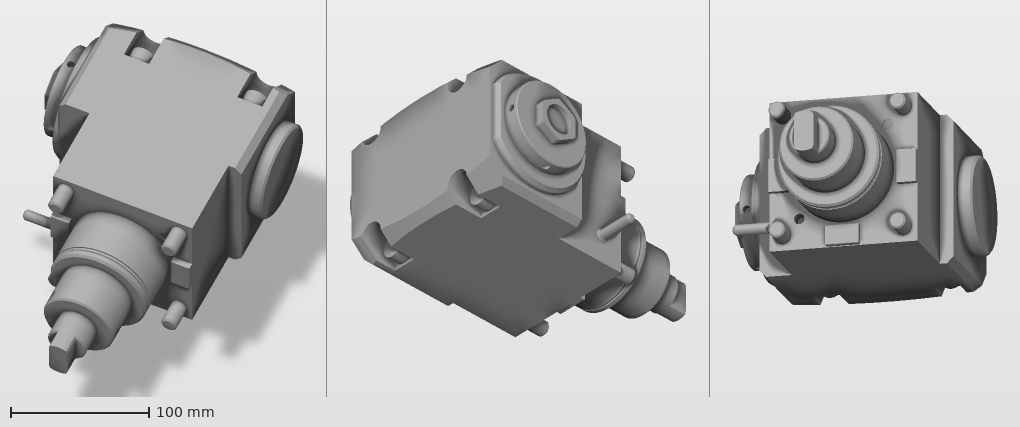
import cadquery as cq
import math


height = 112.0
half_height = height / 2
back_y = 153.6
neck_half_width = 55.5
wide_front_y = 62.0
wide_left_x = -79.5
wide_right_x = 65.7
side_chamfer = 5.0

swing_x = (wide_left_x + wide_right_x) / 2
swing_radius = 246.0
swing_back_y = 146.8
swing_y = swing_back_y - swing_radius

bolt_offset = 45.1
bolt_radius = 6.0
bolt_length = 19.0
bolt_chamfer = 1.3
bolt_head_radius = 9.0
bolt_slot_radius = 10.0
bolt_seat_y = 120.5
bolt_head_height = 12.1

tenon_inner = 40.7
tenon_outer = neck_half_width
tenon_width = 24.8
tenon_height = 4.8
tenon_chamfer = 0.5

face_hole_offset = 33.0
face_hole_radius = 4.0
plug_recess_depth = 0.8
coolant_hole_depth = 10.5
drill_half_angle = math.radians(59)

pilot_radius = 38.0
pilot_length = 43.0
pilot_chamfer = 1.5
groove_start = 34.3
groove_width = 3.7
groove_depth = 1.5
seal_ring_radius = 1.45
shank_radius = 27.7
shank_end = 76.5
shank_chamfer = 1.3
drive_radius = 15.0
drive_shoulder = 96.0
drive_shoulder_chamfer = 1.0
drive_end = back_y - 264
tang_half_width = 7.5
tang_chamfer_width = 0.8
tang_chamfer_height = 2.0

pin_y = 19.0
pin_z = -32.2
pin_tip_x = -87.5
pin_radius = 4.0
pin_tip_radius = 2.5
pin_tip_length = 1.8
pin_base_radius = 5.5
pin_base_length = 1.5

output_y = 110.0
flange_radius = 47.8
flange_outer_x = -86.0
flange_bevel_length = 3.5
flange_bevel_depth = 2.5
flange_flat = 41.0
collar_radius = 34.8
collar_outer_x = -98.5
collar_chamfer = 0.8
set_screw_x = -92.7
set_screw_radius = 3.0
set_screw_depth = 6.5
rear_cap_radius = 36.5
rear_cap_end_x = 76.3
rear_cap_chamfer = 1.5

journal_radius = 20.0
hex_end_x = -106.5
hex_across_flats = 32.0
hex_turned_radius = 18.0
hex_bore_radius = 12.1
hex_bore_depth = 5.3


def cylinder(start, direction, radius, length):
    return cq.Workplane(cq.Solid.makeCylinder(radius, length, cq.Vector(*start), cq.Vector(*direction)))


def cone(start, direction, start_radius, end_radius, length):
    return cq.Workplane(
        cq.Solid.makeCone(start_radius, end_radius, length, cq.Vector(*start), cq.Vector(*direction))
    )


def box_between(low, high):
    size = [b - a for a, b in zip(low, high)]
    return cq.Workplane().box(*size, centered=False).translate(low)


def drilled_hole(start, direction, radius, depth):
    """Blind hole with a conical drill point."""
    tip = [s + depth * d for s, d in zip(start, direction)]
    point = cone(tip, direction, radius, 0, radius / math.tan(drill_half_angle))
    return cylinder(start, direction, radius, depth).union(point)


def swing_envelope():
    """Disc about Z with a 45 degree cone towards its top and bottom faces."""
    middle_radius = swing_radius + half_height
    upper = cone((swing_x, swing_y, 0), (0, 0, 1), middle_radius, swing_radius, half_height)
    lower = cone((swing_x, swing_y, 0), (0, 0, -1), middle_radius, swing_radius, half_height)
    return upper.union(lower)


def housing_block():
    wide = (
        box_between(
            (wide_left_x, wide_front_y, -half_height),
            (wide_right_x, back_y, half_height),
        )
        .edges("|Y")
        .chamfer(side_chamfer)
        .intersect(swing_envelope())
    )
    neck = box_between(
        (-neck_half_width, 0, -half_height),
        (neck_half_width, wide_front_y, half_height),
    )
    return wide.union(neck)


def bolt_slot(x, side):
    """Round-bottomed slot that opens to the back and to the top or bottom (side = 1 or -1)."""
    z = side * bolt_offset
    length = back_y - bolt_seat_y
    round_bottom = cylinder((x, bolt_seat_y, z), (0, 1, 0), bolt_slot_radius, length)
    opening = box_between(
        (x - bolt_slot_radius, bolt_seat_y, min(z, side * half_height)),
        (x + bolt_slot_radius, back_y, max(z, side * half_height)),
    )
    return round_bottom.union(opening)


def bolt_head(x, z):
    return cylinder((x, bolt_seat_y, z), (0, 1, 0), bolt_head_radius, bolt_head_height)


def bolt_end(x, z):
    return cylinder((x, 0, z), (0, -1, 0), bolt_radius, bolt_length).faces("<Y").chamfer(bolt_chamfer)


def tenon(angle):
    """Tenon on the +X side of the mounting face, turned about the drive axis."""
    block = box_between(
        (tenon_inner, -tenon_height, -tenon_width / 2),
        (tenon_outer, 0, tenon_width / 2),
    )
    return block.faces("<Y").edges("|Z").chamfer(tenon_chamfer).rotate((0, 0, 0), (0, 1, 0), angle)


def input_shank():
    groove_floor = pilot_radius - groove_depth
    pilot = cylinder((0, 0, 0), (0, -1, 0), pilot_radius, pilot_length).faces("<Y").chamfer(pilot_chamfer)
    groove_start_point = (0, -groove_start, 0)
    groove = cylinder(groove_start_point, (0, -1, 0), pilot_radius, groove_width).cut(
        cylinder(groove_start_point, (0, -1, 0), groove_floor, groove_width)
    )
    seal_ring = (
        cq.Workplane("XY")
        .moveTo(groove_floor, -groove_start)
        .threePointArc(
            (groove_floor + seal_ring_radius, -groove_start - seal_ring_radius),
            (groove_floor, -groove_start - 2 * seal_ring_radius),
        )
        .lineTo(shank_radius, -groove_start - 2 * seal_ring_radius)
        .lineTo(shank_radius, -groove_start)
        .close()
        .revolve(360, (0, 0, 0), (0, 1, 0))
    )
    shank = cylinder((0, 0, 0), (0, -1, 0), shank_radius, shank_end).faces("<Y").chamfer(shank_chamfer)
    return pilot.cut(groove).union(seal_ring).union(shank).union(drive_tang())


def drive_tang():
    """Round drive end with two flats; the long edges of the flats are bevelled."""
    shoulder_length = drive_shoulder - shank_end
    shoulder = (
        cylinder((0, -shank_end, 0), (0, -1, 0), drive_radius, shoulder_length)
        .faces("<Y")
        .chamfer(drive_shoulder_chamfer)
    )
    flat_edge_z = math.sqrt(drive_radius**2 - tang_half_width**2) - tang_chamfer_height
    bevel_rise = drive_radius - flat_edge_z
    bevel_run = bevel_rise * tang_chamfer_width / tang_chamfer_height
    right_side = [
        (tang_half_width - bevel_run, -drive_radius),
        (tang_half_width, -flat_edge_z),
        (tang_half_width, flat_edge_z),
        (tang_half_width - bevel_run, drive_radius),
    ]
    left_side = [(-x, z) for x, z in reversed(right_side)]
    tang_length = abs(drive_end) - shank_end
    section = (
        cq.Workplane("XZ", origin=(0, -shank_end, 0))
        .polyline(right_side + left_side)
        .close()
        .extrude(tang_length)
    )
    tang = cylinder((0, -shank_end, 0), (0, -1, 0), drive_radius, tang_length).intersect(section)
    return shoulder.union(tang)


def locating_pin():
    wall_x = -neck_half_width
    body_length = wall_x - pin_tip_x - pin_tip_length
    body = cylinder((wall_x, pin_y, pin_z), (-1, 0, 0), pin_radius, body_length)
    base = cone((wall_x, pin_y, pin_z), (-1, 0, 0), pin_base_radius, pin_radius, pin_base_length)
    tip_start = (wall_x - body_length, pin_y, pin_z)
    tip = cone(tip_start, (-1, 0, 0), pin_radius, pin_tip_radius, pin_tip_length)
    return body.union(base).union(tip)


def output_flange():
    """Round flange with one flat towards the back and a bevelled outer rim."""
    half_flat = math.sqrt(flange_radius**2 - flange_flat**2)
    return (
        cq.Workplane("YZ", origin=(flange_outer_x, output_y, 0))
        .moveTo(flange_flat, half_flat)
        .threePointArc((-flange_radius, 0), (flange_flat, -half_flat))
        .close()
        .extrude(wide_left_x - flange_outer_x)
        .faces("<X")
        .chamfer(flange_bevel_length, flange_bevel_depth)
    )


def output_collar():
    length = flange_outer_x - collar_outer_x
    collar = cylinder((flange_outer_x, output_y, 0), (-1, 0, 0), collar_radius, length)
    collar = collar.faces("<X").chamfer(collar_chamfer)
    for y_step, z_step in [(1, 0), (-1, 0), (0, 1), (0, -1)]:
        start = (set_screw_x, output_y + y_step * collar_radius, z_step * collar_radius)
        collar = collar.cut(drilled_hole(start, (0, -y_step, -z_step), set_screw_radius, set_screw_depth))
    bore = cylinder((flange_outer_x, output_y, 0), (-1, 0, 0), journal_radius, length)
    return collar.cut(bore)


def rear_cap():
    length = rear_cap_end_x - wide_right_x
    cap = cylinder((wide_right_x, output_y, 0), (1, 0, 0), rear_cap_radius, length)
    return cap.faces(">X").chamfer(rear_cap_chamfer)


def make_housing():
    body = housing_block()
    for x in (-bolt_offset, bolt_offset):
        for side in (1, -1):
            z = side * bolt_offset
            body = body.cut(bolt_slot(x, side)).union(bolt_head(x, z)).union(bolt_end(x, z))
    for angle in (0, 90, 180):
        body = body.union(tenon(angle))
    plug_recess = cylinder(
        (face_hole_offset, 0, face_hole_offset), (0, 1, 0), face_hole_radius, plug_recess_depth
    )
    coolant_hole = drilled_hole(
        (-face_hole_offset, 0, -face_hole_offset), (0, 1, 0), face_hole_radius, coolant_hole_depth
    )
    body = body.cut(plug_recess).cut(coolant_hole)
    for feature in (input_shank(), locating_pin(), output_flange(), output_collar(), rear_cap()):
        body = body.union(feature)
    return body


def make_spindle():
    """Journal flush with the collar face, carrying a hexagon with turned corners and a bore."""
    journal_length = flange_outer_x - collar_outer_x
    journal = cylinder((flange_outer_x, output_y, 0), (-1, 0, 0), journal_radius, journal_length)
    hex_length = collar_outer_x - hex_end_x
    corner_diameter = hex_across_flats / math.cos(math.pi / 6)
    hexagon = (
        cq.Workplane("YZ", origin=(hex_end_x, output_y, 0))
        .transformed(rotate=(0, 0, 90))
        .polygon(6, corner_diameter)
        .extrude(hex_length)
    )
    turned = cylinder((hex_end_x, output_y, 0), (1, 0, 0), hex_turned_radius, hex_length)
    bore = cylinder((hex_end_x, output_y, 0), (1, 0, 0), hex_bore_radius, hex_bore_depth)
    return journal.union(hexagon.intersect(turned)).cut(bore)


housing = make_housing()
spindle = make_spindle()

result = cq.Compound.makeCompound([housing.solids().val(), spindle.solids().val()])